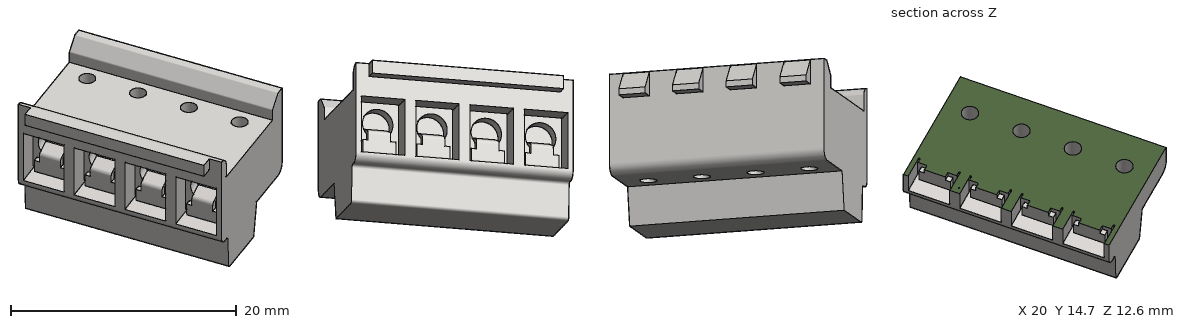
import cadquery as cq
import math

POLES = 4
PITCH = 5.0
LENGTH = POLES * PITCH
DEPTH = 12.4
HEIGHT = 12.55
DECK_Z = 10.3
SHOULDER_Z = 3.45
SHOULDER_REAR_RADIUS = 0.9
SHOULDER_FRONT_RADIUS = 0.75

FOOT_FRONT_TOP_Y = 1.3
FOOT_FRONT_BOTTOM_Y = 1.47
FOOT_REAR_BOTTOM_Y = 6.6
FOOT_REAR_TOP_Y = 7.2
FOOT_EDGE_RADIUS = 0.28

LIP_THICKNESS = 0.98
LIP_RADIUS = 1.0
RAIL_THICKNESS = 2.0
RAIL_CHAMFER = 1.15
RAIL_BLEND_RADIUS = 0.2
RAIL_REAR_RADIUS = 0.07

STRIP_INSET = 1.2
STRIP_PROJECTION = 1.1
STRIP_HEIGHT = 1.2

LATCH_WIDTH = 2.45
LATCH_PROJECTION = 1.2
LATCH_NOSE_HEIGHT = 0.55

ACCESS_DIAMETER = 1.5
ACCESS_Y = 8.9

WINDOW_WIDTH = 4.0
WINDOW_BOTTOM_Z = 4.33
WINDOW_TOP_Z = 9.5
WINDOW_FLOOR_RISE = 0.06
WINDOW_DEPTH = 2.3
CAGE_WIDTH = 3.8
CAGE_BOTTOM_Z = 4.8
CAGE_FACE_Y = 1.8
WIRE_HOLE_DIAMETER = 2.8
WIRE_HOLE_Z = 7.53
WIRE_HOLE_END_Y = 3.0

CLAMP_FACE_Y = 1.25
CLAMP_BOTTOM_Z = 4.48
CLAMP_SHOULDER_Z = 5.87
CLAMP_WIDTH = 3.05
CLAMP_BOTTOM_RADIUS = 0.35
TONGUE_WIDTH = 2.07
TONGUE_BEND_Z = 6.71
TONGUE_BEND_RADIUS = 0.4
TONGUE_TOP_Z = 7.25
TONGUE_SLOPE = 22.0

POLE_POSITIONS = [(i - (POLES - 1) / 2) * PITCH for i in range(POLES)]


def prism(points, width, x_center=0.0):
    """Extrude a (Y, Z) outline along X, centred on x_center."""
    sketch = cq.Workplane("YZ", origin=(x_center, 0, 0)).polyline(points).close()
    return sketch.extrude(width / 2, both=True)


def box(width, y_range, z_range, x_center=0.0):
    """Box of the given width between two Y values and two Z values."""
    (y0, y1), (z0, z1) = y_range, z_range
    return prism([(y0, z0), (y1, z0), (y1, z1), (y0, z1)], width, x_center)


def fillet_at(solid, y, z, radius):
    """Round the edge parallel to X that passes through (y, z)."""
    x = solid.val().Center().x
    nearest = cq.selectors.NearestToPointSelector((x, y, z))
    return solid.edges(nearest).fillet(radius)


def make_housing():
    """Constant side profile of the plug body, with its rounded edges."""
    rail_front_y = DEPTH - RAIL_THICKNESS
    chamfer_top_y = rail_front_y + RAIL_CHAMFER
    chamfer_bottom_z = HEIGHT - RAIL_CHAMFER
    lip_arc_center_z = HEIGHT - LIP_RADIUS
    lip_edge_z = lip_arc_center_z + math.sqrt(LIP_RADIUS**2 - LIP_THICKNESS**2)
    lip_arc_middle = (
        LIP_RADIUS * math.sqrt(0.5),
        lip_arc_center_z + LIP_RADIUS * math.sqrt(0.5),
    )
    outline = (
        cq.Workplane("YZ")
        .moveTo(FOOT_FRONT_BOTTOM_Y, 0)
        .lineTo(FOOT_REAR_BOTTOM_Y, 0)
        .lineTo(FOOT_REAR_TOP_Y, SHOULDER_Z)
        .lineTo(DEPTH, SHOULDER_Z)
        .lineTo(DEPTH, HEIGHT)
        .lineTo(chamfer_top_y, HEIGHT)
        .lineTo(rail_front_y, chamfer_bottom_z)
        .lineTo(rail_front_y, DECK_Z)
        .lineTo(LIP_THICKNESS, DECK_Z)
        .lineTo(LIP_THICKNESS, lip_edge_z)
        .threePointArc(lip_arc_middle, (0, HEIGHT))
        .lineTo(0, SHOULDER_Z)
        .lineTo(FOOT_FRONT_TOP_Y, SHOULDER_Z)
        .close()
    )
    housing = outline.extrude(LENGTH / 2, both=True)
    housing = fillet_at(housing, DEPTH, SHOULDER_Z, SHOULDER_REAR_RADIUS)
    housing = fillet_at(housing, 0, SHOULDER_Z, SHOULDER_FRONT_RADIUS)
    housing = fillet_at(housing, FOOT_FRONT_TOP_Y, SHOULDER_Z, FOOT_EDGE_RADIUS)
    housing = fillet_at(housing, chamfer_top_y, HEIGHT, RAIL_BLEND_RADIUS)
    housing = fillet_at(housing, rail_front_y, chamfer_bottom_z, RAIL_BLEND_RADIUS)
    housing = fillet_at(housing, DEPTH, HEIGHT, RAIL_REAR_RADIUS)
    return fillet_at(housing, FOOT_FRONT_BOTTOM_Y, 0, FOOT_EDGE_RADIUS)


def make_strip():
    """Flange strip projecting from the top of the front lip."""
    return box(LENGTH - 2 * STRIP_INSET, (-STRIP_PROJECTION, 0), (HEIGHT - STRIP_HEIGHT, HEIGHT))


def make_latch(x):
    """Wedge on the rear face, flush with the deck underneath."""
    tip_y = DEPTH + LATCH_PROJECTION
    outline = [
        (DEPTH, DECK_Z),
        (tip_y, DECK_Z),
        (tip_y, DECK_Z + LATCH_NOSE_HEIGHT),
        (DEPTH, HEIGHT - RAIL_REAR_RADIUS),
    ]
    return prism(outline, LATCH_WIDTH, x)


def make_access_hole(x):
    """Vertical hole from the deck through the shoulder."""
    start = cq.Workplane("XY", origin=(x, ACCESS_Y, 0))
    return start.circle(ACCESS_DIAMETER / 2).extrude(HEIGHT)


def make_window(x):
    """Cavity for one wire entry: window recess around the cage face, plus the wire hole."""
    recess = prism([
        (0, WINDOW_BOTTOM_Z),
        (WINDOW_DEPTH, WINDOW_BOTTOM_Z + WINDOW_FLOOR_RISE),
        (WINDOW_DEPTH, WINDOW_TOP_Z),
        (0, WINDOW_TOP_Z),
    ], WINDOW_WIDTH, x)
    cage = box(CAGE_WIDTH, (CAGE_FACE_Y, WINDOW_DEPTH), (CAGE_BOTTOM_Z, WINDOW_TOP_Z), x)
    hole_start = cq.Workplane("XZ", origin=(x, CAGE_FACE_Y, WIRE_HOLE_Z))
    wire_hole = hole_start.circle(WIRE_HOLE_DIAMETER / 2).extrude(CAGE_FACE_Y - WIRE_HOLE_END_Y)
    return recess.cut(cage).union(wire_hole)


def make_clamp(x):
    """Clamp standing in front of the cage face, with its tongue ending in the wire hole."""
    foot = box(CLAMP_WIDTH, (CLAMP_FACE_Y, WINDOW_DEPTH), (CLAMP_BOTTOM_Z, CLAMP_SHOULDER_Z), x)
    foot = fillet_at(foot, CLAMP_FACE_Y, CLAMP_BOTTOM_Z, CLAMP_BOTTOM_RADIUS)
    slope_run = (TONGUE_TOP_Z - TONGUE_BEND_Z) / math.tan(math.radians(TONGUE_SLOPE))
    tongue = prism([
        (CLAMP_FACE_Y, CLAMP_SHOULDER_Z),
        (CLAMP_FACE_Y, TONGUE_BEND_Z),
        (CLAMP_FACE_Y + slope_run, TONGUE_TOP_Z),
        (WIRE_HOLE_END_Y, TONGUE_TOP_Z),
        (WIRE_HOLE_END_Y, CLAMP_SHOULDER_Z),
    ], TONGUE_WIDTH, x)
    tongue = fillet_at(tongue, CLAMP_FACE_Y, TONGUE_BEND_Z, TONGUE_BEND_RADIUS)
    return foot.union(tongue)


result = make_housing().union(make_strip())
for pole_x in POLE_POSITIONS:
    result = result.union(make_latch(pole_x))
    result = result.cut(make_window(pole_x))
    result = result.union(make_clamp(pole_x))
    result = result.cut(make_access_hole(pole_x))